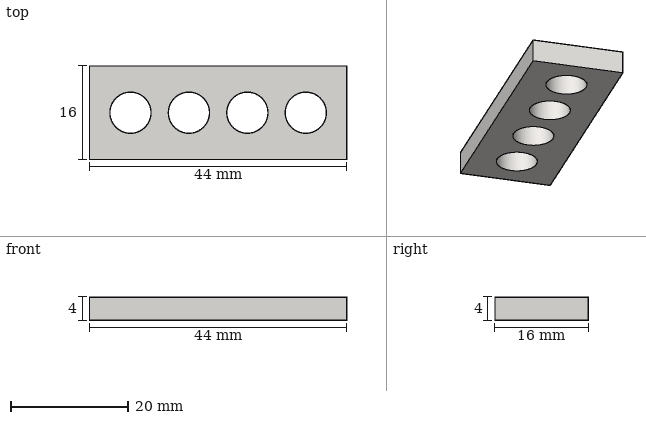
import cadquery as cq

length = 44.0
width = 16.0
thickness = 4.0

hole_count = 4
hole_diameter = 7.0
hole_pitch = 10.0

plate = cq.Workplane("XY").box(length, width, thickness)

result = (
    plate.faces(">Z")
    .workplane()
    .rarray(hole_pitch, 0.45, hole_count, 1)
    .hole(hole_diameter)
)